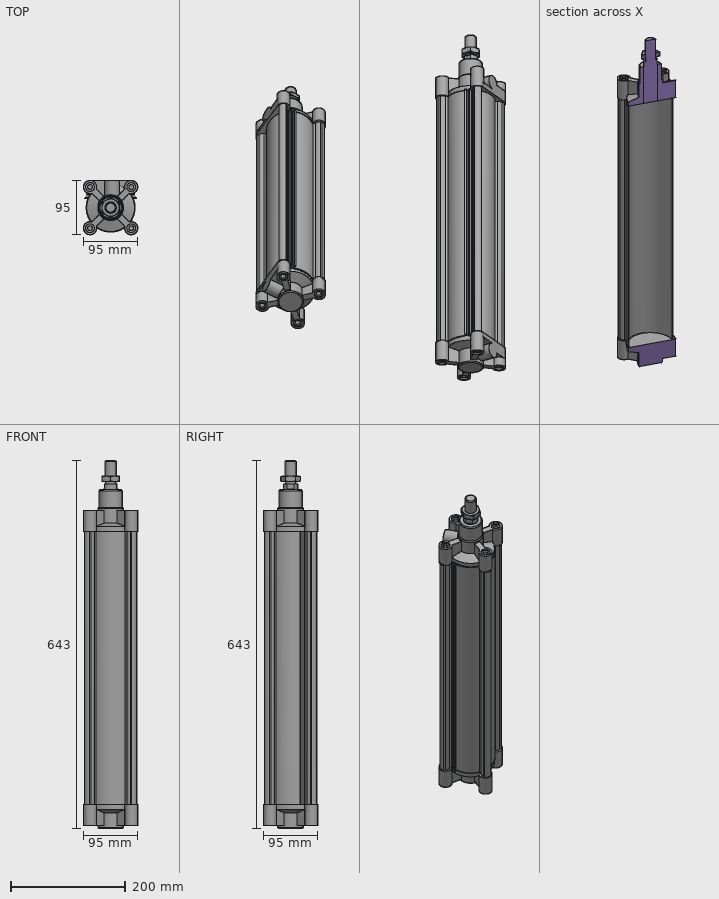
import cadquery as cq
import math


TOTAL_LENGTH = 643.0
BARREL_TOP = 519.0
NECK_TOP = 592.0
ROD_SHOULDER = 602.5
NUT_TOP = 616.0

POST_SPACING = 72.0
POST_DIAMETER = 23.0
POST_HEIGHT = 37.0
PLATE_DIAMETER = 83.5
PLATE_THICKNESS = 9.0
CONE_HEIGHT = 6.0
BOSS_DIAMETER = 45.0
BOSS_PROJECTION = 5.0
BOSS_CHAMFER = 2.0
NECK_DIAMETER = 41.0
NECK_CHAMFER = 2.0
RIB_WIDTH = 11.0
COUNTERBORE_DIAMETER = 15.5
COUNTERBORE_DEPTH = 3.0
SCREW_HOLE_DIAMETER = 8.5
SCREW_HOLE_DEPTH = 9.5
PORT_DIAMETER = 26.5
PORT_AXIS_HEIGHT = 22.0
PORT_OFFSET = 2.5

TUBE_DIAMETER = 85.5
BORE_DIAMETER = 80.0
BAR_DIAMETER = 15.5
BAR_NOSE_DIAMETER = 20.0
BAR_WEB_WIDTH = 13.0
LIP_THICKNESS = 2.25
OUTER_LIP_REACH = 45.5
OUTER_LIP_Y = 16.0
INNER_LIP_REACH = 42.0
INNER_LIP_Y = 22.0

ROD_DIAMETER = 25.0
ROD_FLAT_WIDTH = 22.0
ROD_FLAT_LENGTH = 9.0
THREAD_DIAMETER = 20.0
THREAD_CHAMFER = 2.0
RELIEF_DIAMETER = 18.5
NUT_WIDTH = 30.0
NUT_HEIGHT = 9.5
NUT_CHAMFER_ANGLE = 30.0

POST_OFFSET = POST_SPACING / 2
POST_RADIUS = POST_DIAMETER / 2
CAP_HALF_WIDTH = POST_OFFSET + POST_RADIUS
CORNERS = [(sx * POST_OFFSET, sy * POST_OFFSET) for sx in (-1, 1) for sy in (-1, 1)]
CORNER_RADIUS = math.hypot(POST_OFFSET, POST_OFFSET)
BOSS_HEIGHT = POST_HEIGHT + BOSS_PROJECTION
BARREL_BOTTOM = BOSS_HEIGHT
BARREL_LENGTH = BARREL_TOP - BARREL_BOTTOM
NUT_BOTTOM = NUT_TOP - NUT_HEIGHT


def box(x_min, x_max, y_min, y_max, z_min, z_max):
    """Axis-aligned box between two opposite corners."""
    size = (x_max - x_min, y_max - y_min, z_max - z_min)
    return cq.Workplane("XY").box(*size, centered=False).translate((x_min, y_min, z_min))


def cylinder(diameter, z_min, z_max):
    """Upright cylinder on the Z axis."""
    return cq.Workplane("XY").workplane(offset=z_min).circle(diameter / 2).extrude(z_max - z_min)


def cap_core():
    """Round plate that rises as a cone to the centring boss."""
    plate_radius = PLATE_DIAMETER / 2
    boss_radius = BOSS_DIAMETER / 2
    return (
        cq.Workplane("XZ")
        .polyline([
            (0, 0),
            (plate_radius, 0),
            (plate_radius, PLATE_THICKNESS),
            (boss_radius, PLATE_THICKNESS + CONE_HEIGHT),
            (boss_radius, BOSS_HEIGHT - BOSS_CHAMFER),
            (boss_radius - BOSS_CHAMFER, BOSS_HEIGHT),
            (0, BOSS_HEIGHT),
        ])
        .close()
        .revolve(360, (0, 0, 0), (0, 1, 0))
    )


def ribbed_core():
    """Cap core with two crossing ribs that reach the corner posts."""
    core = cap_core()
    for angle in (45, -45):
        rib = cq.Workplane("XY").rect(2 * CORNER_RADIUS, RIB_WIDTH).extrude(POST_HEIGHT)
        core = core.union(rib.rotate((0, 0, 0), (0, 0, 1), angle))
    return core


def port_side():
    """Flat +Y side of the cap: foot plate, raised pad and round port boss."""
    port_radius = PORT_DIAMETER / 2
    inner_y = BOSS_DIAMETER / 4
    foot = box(-POST_OFFSET, POST_OFFSET, POST_OFFSET, CAP_HALF_WIDTH, 0, PLATE_THICKNESS)
    pad = (
        cq.Workplane("XY")
        .polyline([
            (-inner_y, inner_y),
            (-POST_OFFSET, POST_OFFSET),
            (-POST_OFFSET, CAP_HALF_WIDTH),
            (PORT_OFFSET, CAP_HALF_WIDTH),
            (PORT_OFFSET, inner_y),
        ])
        .close()
        .extrude(PORT_AXIS_HEIGHT)
    )
    port = (
        cq.Workplane("XZ", origin=(PORT_OFFSET, CAP_HALF_WIDTH, PORT_AXIS_HEIGHT))
        .circle(port_radius)
        .extrude(CAP_HALF_WIDTH - inner_y)
    )
    return foot.union(pad).union(port)


def screw_holes():
    """Counterbored blind holes in the tops of the corner posts."""
    cbore_floor = POST_HEIGHT - COUNTERBORE_DEPTH
    holes = cq.Workplane("XY")
    for x, y in CORNERS:
        counterbore = cylinder(COUNTERBORE_DIAMETER, cbore_floor, POST_HEIGHT)
        hole = cylinder(SCREW_HOLE_DIAMETER, cbore_floor - SCREW_HOLE_DEPTH, cbore_floor)
        holes = holes.union(counterbore.union(hole).translate((x, y, 0)))
    return holes


def make_cap():
    posts = cq.Workplane("XY").pushPoints(CORNERS).circle(POST_RADIUS).extrude(POST_HEIGHT)
    return ribbed_core().union(port_side()).union(posts).cut(screw_holes())


def make_front_cap():
    """Cap with a neck that guides the rod."""
    neck_height = NECK_TOP - BARREL_TOP
    neck = cylinder(NECK_DIAMETER, 0, neck_height).faces(">Z").chamfer(NECK_CHAMFER)
    rod_bore = cylinder(ROD_DIAMETER, 0, neck_height)
    return make_cap().union(neck).cut(rod_bore).translate((0, 0, BARREL_TOP))


def make_rear_cap():
    """Cap without a neck, turned to face down."""
    return make_cap().mirror("XY").translate((0, 0, BARREL_BOTTOM))


def corner_bars():
    """Round bars on diagonal webs; each web ends in a rounded nose that stands out of its bar."""
    nose_radius = BAR_NOSE_DIAMETER / 2
    web_start = (BORE_DIAMETER + TUBE_DIAMETER) / 4
    web = box(web_start, CORNER_RADIUS, -BAR_WEB_WIDTH / 2, BAR_WEB_WIDTH / 2, 0, BARREL_LENGTH)
    nose_strip = box(CORNER_RADIUS, CORNER_RADIUS + nose_radius, -BAR_WEB_WIDTH / 2, BAR_WEB_WIDTH / 2,
                     0, BARREL_LENGTH)
    nose = cylinder(BAR_NOSE_DIAMETER, 0, BARREL_LENGTH).translate((CORNER_RADIUS, 0, 0)).intersect(nose_strip)
    round_bar = cylinder(BAR_DIAMETER, 0, BARREL_LENGTH).translate((CORNER_RADIUS, 0, 0))
    bar = web.union(nose).union(round_bar)
    bars = cq.Workplane("XY")
    for angle in (45, 135, 225, 315):
        bars = bars.union(bar.rotate((0, 0, 0), (0, 0, 1), angle))
    return bars


def sensor_lips():
    """Thin bars across the full width; the tube bore later leaves only their ends."""
    inner_lips = box(-INNER_LIP_REACH, INNER_LIP_REACH, INNER_LIP_Y, INNER_LIP_Y + LIP_THICKNESS,
                     0, BARREL_LENGTH)
    outer_lips = (
        cq.Workplane("XY")
        .polyline([
            (-OUTER_LIP_REACH, OUTER_LIP_Y),
            (OUTER_LIP_REACH, OUTER_LIP_Y),
            (OUTER_LIP_REACH - LIP_THICKNESS, OUTER_LIP_Y + LIP_THICKNESS),
            (LIP_THICKNESS - OUTER_LIP_REACH, OUTER_LIP_Y + LIP_THICKNESS),
        ])
        .close()
        .extrude(BARREL_LENGTH)
    )
    return inner_lips.union(outer_lips)


def make_barrel():
    outside = cylinder(TUBE_DIAMETER, 0, BARREL_LENGTH).union(corner_bars()).union(sensor_lips())
    return outside.cut(cylinder(BORE_DIAMETER, 0, BARREL_LENGTH)).translate((0, 0, BARREL_BOTTOM))


def make_rod():
    shank = cylinder(ROD_DIAMETER, BARREL_TOP, ROD_SHOULDER)
    flat_x = ROD_FLAT_WIDTH / 2
    for side in (-1, 1):
        x_min, x_max = sorted((side * flat_x, side * ROD_DIAMETER))
        shank = shank.cut(
            box(x_min, x_max, -ROD_DIAMETER, ROD_DIAMETER, ROD_SHOULDER - ROD_FLAT_LENGTH, ROD_SHOULDER)
        )
    relief = cylinder(RELIEF_DIAMETER, ROD_SHOULDER, NUT_BOTTOM)
    thread = cylinder(THREAD_DIAMETER, NUT_BOTTOM, TOTAL_LENGTH).faces(">Z").chamfer(THREAD_CHAMFER)
    return shank.union(relief).union(thread)


def make_nut():
    corner_diameter = NUT_WIDTH / math.cos(math.radians(30))
    rim_inset = (corner_diameter - NUT_WIDTH) / 2
    rim_drop = rim_inset * math.tan(math.radians(NUT_CHAMFER_ANGLE))
    hexagon = (
        cq.Workplane("XY")
        .polygon(6, corner_diameter)
        .extrude(NUT_HEIGHT)
        .rotate((0, 0, 0), (0, 0, 1), 30)
        .translate((0, 0, NUT_BOTTOM))
    )
    rim = cylinder(corner_diameter, NUT_BOTTOM, NUT_TOP).faces("<Z or >Z").chamfer(rim_drop, rim_inset)
    return hexagon.intersect(rim).cut(cylinder(THREAD_DIAMETER, NUT_BOTTOM, NUT_TOP))


front_cap = make_front_cap()
rear_cap = make_rear_cap()
barrel = make_barrel()
rod = make_rod()
nut = make_nut()

result = cq.Compound.makeCompound([
    front_cap.val(),
    rear_cap.val(),
    barrel.val(),
    rod.val(),
    nut.val(),
])